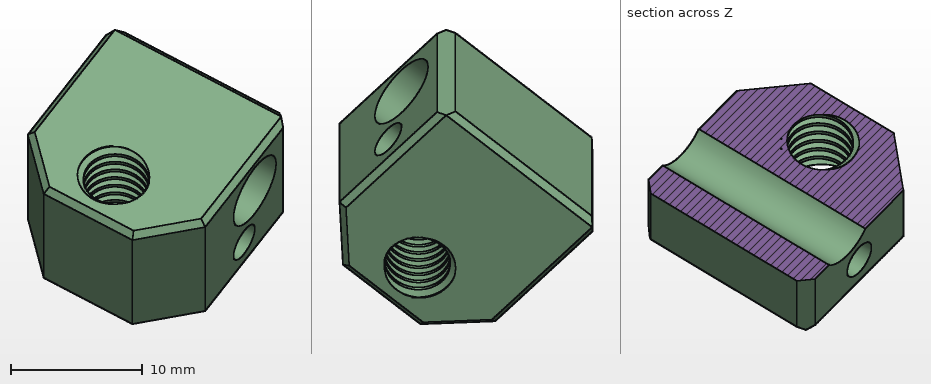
import cadquery as cq


side = 16.0
height = 12.0
front_corner = 4.0
edge_chamfer = 0.5
rear_corner = 2 * edge_chamfer

heater_diameter = 6.0
heater_z = height - 4.0
sensor_diameter = 3.0
sensor_z = 3.0

thread_y = front_corner - side / 2
major_radius = 6.0 / 2
minor_radius = 5.02 / 2
pitch = major_radius / 3
root_width = pitch / 8
flank_slope = 3 ** -0.5
bore_overlap = 0.16


def make_block():
    """Square block with cut front corners, chamfered rims and small rear corner faces."""
    half = side / 2
    block = cq.Workplane("XY").box(side, side, height, centered=(True, True, False))
    block = block.edges("|Z and <Y").chamfer(front_corner)
    block = block.faces("<Z or >Z").edges().chamfer(edge_chamfer)
    for x_side in (-1, 1):
        corner = (
            cq.Workplane("XY")
            .moveTo(x_side * half, half)
            .lineTo(x_side * (half - rear_corner), half)
            .lineTo(x_side * half, half - rear_corner)
            .close()
            .extrude(height)
        )
        block = block.cut(corner)
    return block


def make_cross_hole(diameter, z):
    """Cylinder along X through the whole block."""
    return (
        cq.Workplane("YZ", origin=(-side / 2, 0, 0))
        .center(diameter / 2, z)
        .circle(diameter / 2)
        .extrude(side)
    )


def make_thread_groove():
    """Helical V groove on the Z axis, running out past both ends of the block."""
    path = cq.Wire.makeHelix(pitch, height + 2 * pitch, minor_radius)
    inner_radius = minor_radius - bore_overlap
    root_half = root_width / 2
    mouth_half = root_half + (major_radius - inner_radius) * flank_slope
    groove = (
        cq.Workplane("XZ")
        .moveTo(inner_radius, -mouth_half)
        .lineTo(major_radius, -root_half)
        .lineTo(major_radius, root_half)
        .lineTo(inner_radius, mouth_half)
        .close()
        .sweep(cq.Workplane(path), isFrenet=True)
    )
    groove = groove.rotate((0, 0, 0), (0, 0, 1), 180)
    return groove.translate((0, thread_y, -pitch))


def make_threaded_hole():
    """Bore at the minor diameter joined with the groove, reaching beyond both ends of the groove."""
    overrun = 2 * pitch
    bore = (
        cq.Workplane("XY", origin=(0, thread_y, -overrun))
        .circle(minor_radius)
        .extrude(height + 2 * overrun)
    )
    return bore.union(make_thread_groove())


result = make_block()
result = result.cut(make_cross_hole(heater_diameter, heater_z))
result = result.cut(make_cross_hole(sensor_diameter, sensor_z))
result = result.cut(make_threaded_hole())